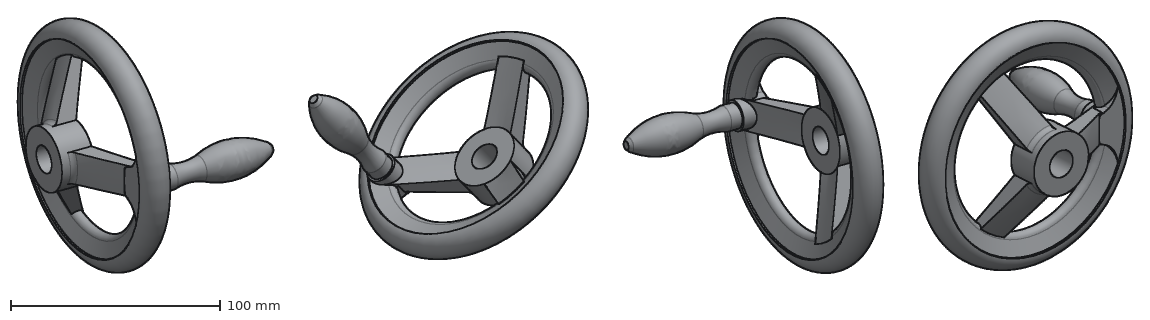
import cadquery as cq
import math


outer_radius = 62.5
rim_round = 8.0
lip_radius = outer_radius - rim_round
rim_front = 20.0
rim_middle = rim_front + rim_round
rim_back = rim_middle + rim_round
step_depth = 1.0
step_taper = 0.2
bead_depth = 2.6
bead_half_height = 3.4
bead_edge_radius = 46.2

hub_radius = 33.0 / 2
hub_length = 18.0
bore_diameter = 14.0

spoke_count = 3
hub_half_width = 8.5
rim_half_width = 8.1
blend_start = 4.6
blend_end_radius = 18.0
blend_end = 7.6
pad_face = rim_front + step_depth
pad_inner_radius = 39.2
spoke_end_thickness = 7.5
spoke_end_radius = bead_edge_radius + 1.2

pad_corner = 2.2
pad_neck_x = 45.0
pad_neck_half_width = 9.9
pad_flare_x = 50.4
pad_flare_half_width = 20.5
pad_flare_bulge = 1.0

handle_x = 47.0
boss_radius = handle_x - pad_inner_radius
base_radius = 13.0 / 2
base_end = 42.2
neck_radius = 5.2
neck_y = 50.6
grip_start = 58.5
grip_start_radius = 6.5
grip_radius = 10.0
grip_widest = 74.4
grip_end = 96.8
grip_end_radius = 3.8
tip_y = 98.5
tip_radius = 2.2


def make_rim():
    """Revolve a half-round rim whose inner flanks taper to a round bead."""
    step_radius = lip_radius - step_taper
    profile = (
        cq.Workplane("XY")
        .moveTo(lip_radius, rim_front)
        .threePointArc((outer_radius, rim_middle), (lip_radius, rim_back))
        .lineTo(step_radius, rim_back - step_depth)
        .lineTo(bead_edge_radius, rim_middle + bead_half_height)
        .threePointArc(
            (bead_edge_radius - bead_depth, rim_middle),
            (bead_edge_radius, rim_middle - bead_half_height),
        )
        .lineTo(step_radius, rim_front + step_depth)
        .close()
    )
    return profile.revolve(360, (0, 0, 0), (0, 1, 0))


def make_cylinder(radius, length):
    """Cylinder on the wheel axis, running from Y = 0 towards +Y."""
    return cq.Workplane("XZ").circle(radius).extrude(-length)


def make_spoke():
    """Spoke along +X: a tapering strip cut from a dished disc around the wheel axis."""
    slope = (pad_face - blend_end) / (pad_inner_radius - blend_end_radius)
    front_end = pad_face + slope * (spoke_end_radius - pad_inner_radius)
    back_slope = (pad_face + spoke_end_thickness - hub_length) / (pad_inner_radius - hub_radius)
    back_end = hub_length + back_slope * (spoke_end_radius - hub_radius)
    blend_width = blend_end_radius - hub_radius
    blend_height = blend_end - blend_start
    blend_radius = (blend_width**2 + blend_height**2) / (2 * blend_width)
    half_sweep = math.asin(blend_height / blend_radius) / 2
    blend_middle = (
        hub_radius + blend_radius * (1 - math.cos(half_sweep)),
        blend_start + blend_radius * math.sin(half_sweep),
    )
    root_radius = (hub_radius + bore_diameter / 2) / 2
    disc = (
        cq.Workplane("XY")
        .moveTo(root_radius, blend_start)
        .lineTo(hub_radius, blend_start)
        .threePointArc(blend_middle, (blend_end_radius, blend_end))
        .lineTo(spoke_end_radius, front_end)
        .lineTo(spoke_end_radius, back_end)
        .lineTo(hub_radius, hub_length)
        .lineTo(root_radius, hub_length)
        .close()
        .revolve(360, (0, 0, 0), (0, 1, 0))
    )
    plan = (
        cq.Workplane("XZ")
        .polyline([
            (root_radius, -hub_half_width),
            (spoke_end_radius, -rim_half_width),
            (spoke_end_radius, rim_half_width),
            (root_radius, hub_half_width),
        ])
        .close()
        .extrude(-rim_back)
    )
    return disc.intersect(plan)


def make_pad():
    """Flat pad that flares from the spoke width into the rim."""
    flare_middle_x = (pad_neck_x + pad_flare_x) / 2 + pad_flare_bulge
    flare_middle_z = (pad_neck_half_width + pad_flare_half_width) / 2 - pad_flare_bulge
    shoulder_x = pad_inner_radius + pad_corner
    corner_z = rim_half_width - pad_corner
    corner_offset = pad_corner * (1 - math.sqrt(0.5))
    outline = (
        cq.Workplane("XZ", origin=(0, pad_face, 0))
        .moveTo(pad_inner_radius, 0)
        .lineTo(pad_inner_radius, corner_z)
        .threePointArc(
            (pad_inner_radius + corner_offset, rim_half_width - corner_offset),
            (shoulder_x, rim_half_width),
        )
        .lineTo(pad_neck_x, pad_neck_half_width)
        .threePointArc((flare_middle_x, flare_middle_z), (pad_flare_x, pad_flare_half_width))
        .threePointArc((lip_radius, 0), (pad_flare_x, -pad_flare_half_width))
        .threePointArc((flare_middle_x, -flare_middle_z), (pad_neck_x, -pad_neck_half_width))
        .lineTo(shoulder_x, -rim_half_width)
        .threePointArc(
            (pad_inner_radius + corner_offset, corner_offset - rim_half_width),
            (pad_inner_radius, -corner_z),
        )
        .close()
    )
    return outline.extrude(-spoke_end_thickness)


def make_boss():
    """Round seat for the handle, from the pad to the back of the rim."""
    seat = cq.Workplane("XZ", origin=(handle_x, rim_back, 0)).circle(boss_radius)
    return seat.extrude(rim_back - rim_middle)


def make_handle():
    """Revolve the handle: plain base, waisted neck, swelling grip and blunt tip."""
    profile = (
        cq.Workplane("XY", origin=(handle_x, 0, 0))
        .moveTo(0, rim_middle)
        .lineTo(base_radius, rim_middle)
        .lineTo(base_radius, base_end)
        .threePointArc((neck_radius, neck_y), (grip_start_radius, grip_start))
        .spline([(grip_radius, grip_widest), (grip_end_radius, grip_end)], includeCurrent=True)
        .lineTo(tip_radius, tip_y)
        .lineTo(0, tip_y)
        .close()
    )
    return profile.revolve(360, (0, 0, 0), (0, 1, 0))


wheel = make_rim().union(make_cylinder(hub_radius, hub_length))
for index in range(spoke_count):
    angle = index * 360 / spoke_count
    wheel = wheel.union(make_spoke().rotate((0, 0, 0), (0, 1, 0), angle))

wheel = wheel.union(make_pad()).union(make_boss()).union(make_handle())
result = wheel.cut(make_cylinder(bore_diameter / 2, hub_length))